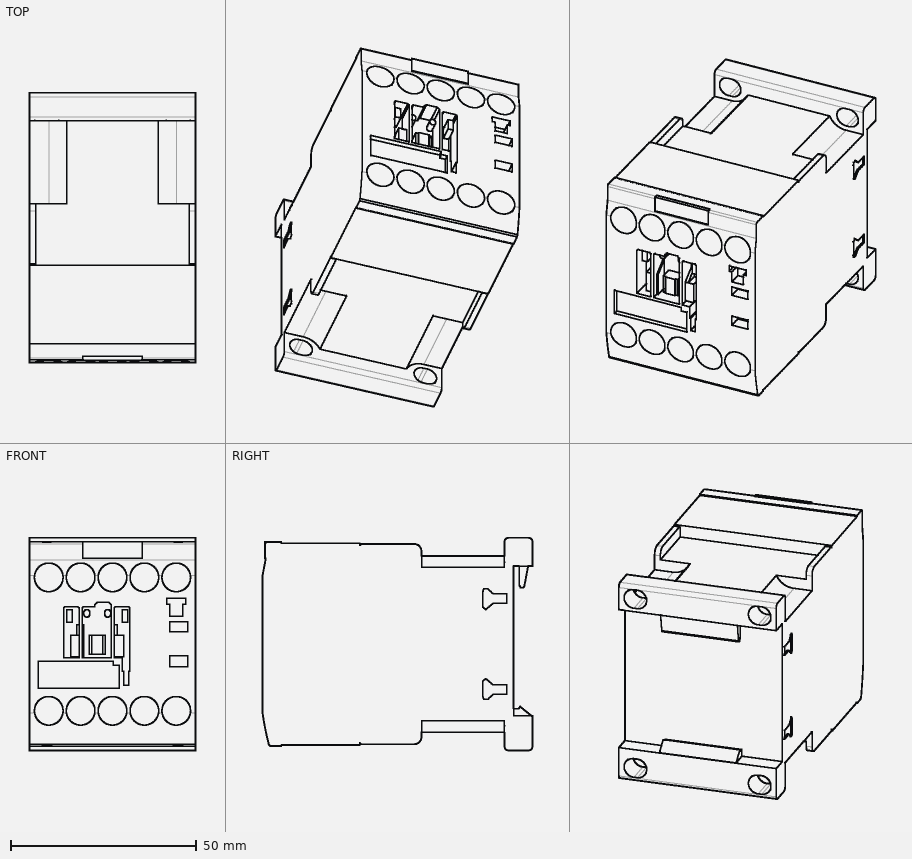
import cadquery as cq

width = 45.0
length = 73.0
height = 57.5
half_width = width / 2
half_height = height / 2

cap_back = 5.1
block_back = 26.35
side_wall_back = 43.0
foot_front = 65.4
rail_seat = 67.9

cap_half_height = 27.6
block_half_height = 27.3
side_wall_half_height = 27.1
core_half_height = 23.9
ledge_half_height = 20.7


def side_profile(points, x_start, x_length):
    """Extrude a closed (Y, Z) outline along X."""
    return cq.Workplane("YZ", origin=(x_start, 0, 0)).polyline(points).close().extrude(x_length)


def front_prism(points, front, back):
    """Extrude a closed (X, Z) outline backwards between two depths."""
    plane = cq.Workplane("XZ", origin=(0, front, 0))
    return plane.polyline(points).close().extrude(front - back)


def block(x_range, y_range, z_range):
    """Box given by its limits along X, Y and Z."""
    sizes = [limits[1] - limits[0] for limits in (x_range, y_range, z_range)]
    corner = (x_range[0], y_range[0], z_range[0])
    return cq.Workplane("XY").box(*sizes, centered=False).translate(corner)


def full_width(y_range, z_range):
    """Box across the whole width."""
    return block((-half_width, half_width), y_range, z_range)


face_half_height = 18.55
header_depth = 0.8
header_bottom = 22.8
header_edge = 0.5
lower_curve_middle = (0.56, -22.05)
lower_curve_end = (1.7, -27.1)
lower_lip_depth = 2.05


def make_cap():
    return (
        cq.Workplane("YZ", origin=(-half_width, 0, 0))
        .moveTo(cap_back, -cap_half_height)
        .lineTo(cap_back, cap_half_height)
        .lineTo(header_depth + header_edge, cap_half_height)
        .radiusArc((header_depth, cap_half_height - header_edge), -header_edge)
        .lineTo(header_depth, header_bottom)
        .lineTo(0, face_half_height)
        .lineTo(0, -face_half_height)
        .threePointArc(lower_curve_middle, lower_curve_end)
        .lineTo(lower_lip_depth, -cap_half_height)
        .close()
        .extrude(width)
    )


plate_half_width = 8.0
plate_depths = (0.6, 1.7)
plate_rise = 0.1
plate_heights = (23.2, cap_half_height + plate_rise)

side_wall_width = 1.7
side_wall_round = 2.0
side_wall_bevel = 0.4


def make_side_wall(x_start):
    """Tall side wall, rounded at its back corners and bevelled where it meets the front block."""
    wall = block(
        (x_start, x_start + side_wall_width),
        (block_back, side_wall_back),
        (-side_wall_half_height, side_wall_half_height),
    )
    wall = wall.edges("|X and >Y").fillet(side_wall_round)
    return wall.edges("|X and <Y").chamfer(side_wall_bevel)


channel_x = 17.2
channel_radius = 5.4


def make_channel(side, level):
    """Concave channel that opens outwards over a flat ledge; side and level are +1 or -1."""
    axis_z = level * (ledge_half_height + channel_radius)
    channel_length = foot_front - side_wall_back
    bore = (
        cq.Workplane("XZ", origin=(side * channel_x, side_wall_back, axis_z))
        .circle(channel_radius)
        .extrude(-channel_length)
    )
    ledge = block(
        sorted((side * channel_x, side * half_width)),
        (side_wall_back, foot_front),
        sorted((level * ledge_half_height, level * half_height)),
    )
    return bore.union(ledge)


upper_foot_bottom = 21.1
lower_foot_top = -19.4
foot_round = 1.1
hole_x = 17.75
hole_z = 24.8
hole_length = 6.4
hole_height = 5.4


def make_foot(z_range, outer_edges):
    foot = full_width((foot_front, length), z_range)
    return foot.edges(outer_edges).fillet(foot_round)


rail_clip_width = 21.9
hook_outline = [
    (71.8, upper_foot_bottom), (70.8, 15.6), (70.45, 15.2),
    (69.8, 15.2), (69.35, 16.0), (69.35, upper_foot_bottom),
]
latch_outline = [
    (72.8, lower_foot_top), (69.65, -16.85), (69.2, -17.45), (rail_seat, -17.45), (rail_seat, lower_foot_top),
]

side_recess_depth = 0.45
side_recess_outline = [
    (66.1, 13.6), (62.35, 13.6), (60.9, 15.0), (59.85, 15.0), (59.6, 14.2),
    (59.6, 10.0), (60.4, 9.35), (62.35, 11.0), (66.1, 11.0),
]

terminal_count = 5
terminal_pitch = 8.6
terminal_diameter = 7.75
terminal_z = 18.0
terminal_depth = 10.95

label_depth = 1.45
label_outline = [
    (-20.0, -4.6), (0.15, -4.6), (0.15, -5.7), (1.8, -5.7), (1.8, -11.9), (-20.0, -11.9),
]
window_depth = 3.65
tee_window_outline = [
    (14.7, 12.4), (19.8, 12.4), (19.8, 10.7), (19.0, 10.7),
    (19.0, 7.6), (15.5, 7.6), (15.5, 10.7), (14.7, 10.7),
]
square_window_x = (15.5, 20.4)
square_window_heights = [(3.35, 6.0), (-6.05, -3.2)]

slot_depth = 5.6
slot_top = 10.15
slot_bottom = -3.7
slot_bevel = 0.4
left_slot_x = (-13.2, -9.05)
middle_slot_x = (-8.2, -0.4)
right_slot_x = (0.45, 4.7)
middle_slot_top = 11.3
middle_slot_step_x = -4.75
middle_slot_bevel = 0.65
leg_outline = [
    (2.7, slot_bottom), (2.7, -7.3), (3.0, -7.3), (3.0, -11.1), (4.4, -11.1), (4.4, -7.3), (4.7, -7.3),
    (4.7, slot_bottom),
]


def slot_outline(x_range):
    """Upright slot with bevelled top corners."""
    left, right = x_range
    return [
        (left, slot_bottom), (left, slot_top - slot_bevel), (left + slot_bevel, slot_top),
        (right - slot_bevel, slot_top), (right, slot_top - slot_bevel), (right, slot_bottom),
    ]


def middle_slot_outline():
    """Upright slot whose right part is taller."""
    left, right = middle_slot_x
    return [
        (left, slot_bottom), (left, slot_top - slot_bevel), (left + slot_bevel, slot_top),
        (middle_slot_step_x, slot_top), (middle_slot_step_x, middle_slot_top - middle_slot_bevel),
        (middle_slot_step_x + middle_slot_bevel, middle_slot_top),
        (right - middle_slot_bevel, middle_slot_top), (right, middle_slot_top - middle_slot_bevel),
        (right, slot_bottom),
    ]


slider_depth = 2.0
slider_top = 2.4
arm_bottom = -3.4
ramp_top = 5.2
left_arm_x = (-11.3, left_slot_x[1])
right_arm_x = (right_slot_x[0], 3.0)
left_ramp_x = (-9.7, left_slot_x[1])
right_ramp_x = (right_slot_x[0], 1.3)
middle_ramp_x = (middle_slot_x[0], -7.8)
knob_x = (-6.35, -2.0)
knob_bottom = -2.7
knob_rim = 0.7
knob_rim_depth = 2.3


def make_ramp(x_range, bottom):
    """Strip along a slot wall with a top that rises towards the slot floor."""
    outline = [
        (slider_depth, bottom), (slider_depth, slider_top), (slot_depth, ramp_top), (slot_depth, bottom),
    ]
    return side_profile(outline, x_range[0], x_range[1] - x_range[0])


def make_slider():
    knob_left, knob_right = knob_x
    parts = block(knob_x, (knob_rim_depth, slot_depth), (knob_bottom, slider_top))
    knob_center = (knob_left + knob_rim, knob_right - knob_rim)
    parts = parts.union(block(knob_center, (slider_depth, slot_depth), (knob_bottom, slider_top)))
    for arm_x in (left_arm_x, right_arm_x):
        parts = parts.union(block(arm_x, (slider_depth, slot_depth), (arm_bottom, slider_top)))
    for ramp_x in (left_ramp_x, right_ramp_x):
        parts = parts.union(make_ramp(ramp_x, arm_bottom))
    return parts.union(make_ramp(middle_ramp_x, slot_bottom))


stud_depth = 2.9
stud_z = 8.3
stud_width = 1.6
stud_height = 2.05
stud_xs = (-6.9, -1.3)
bar_depth = 1.7
bar_heights = (5.9, 9.35)
bar_ranges = [(-12.4, -10.9), (2.6, 4.15)]


def make_studs():
    studs = (
        cq.Workplane("XZ", origin=(0, stud_depth, 0))
        .pushPoints([(x, stud_z) for x in stud_xs])
        .slot2D(stud_height, stud_width, 90)
        .extrude(stud_depth - slot_depth)
    )
    for bar_x in bar_ranges:
        studs = studs.union(block(bar_x, (bar_depth, slot_depth), bar_heights))
    return studs


body = make_cap()
body = body.union(block((-plate_half_width, plate_half_width), plate_depths, plate_heights))
body = body.union(full_width((cap_back, block_back), (-block_half_height, block_half_height)))
body = body.union(full_width((block_back, rail_seat), (-core_half_height, core_half_height)))
for wall_x in (-half_width, half_width - side_wall_width):
    body = body.union(make_side_wall(wall_x))
for side in (-1, 1):
    for level in (-1, 1):
        body = body.cut(make_channel(side, level))

body = body.union(make_foot((upper_foot_bottom, half_height), "|X and >Z"))
body = body.union(make_foot((-half_height, lower_foot_top), "|X and <Z"))
for outline in (hook_outline, latch_outline):
    body = body.union(side_profile(outline, -rail_clip_width / 2, rail_clip_width))
mounting_holes = (
    cq.Workplane("XZ", origin=(0, foot_front, 0))
    .rect(2 * hole_x, 2 * hole_z, forConstruction=True)
    .vertices()
    .slot2D(hole_length, hole_height)
    .extrude(foot_front - length)
)
body = body.cut(mounting_holes)

for level in (-1, 1):
    outline = [(y, level * z) for y, z in side_recess_outline]
    for start in (-half_width, half_width - side_recess_depth):
        body = body.cut(side_profile(outline, start, side_recess_depth))

terminals = (
    cq.Workplane("XZ")
    .rarray(terminal_pitch, 2 * terminal_z, terminal_count, 2)
    .circle(terminal_diameter / 2)
    .extrude(-terminal_depth)
)
body = body.cut(terminals)
body = body.cut(front_prism(label_outline, 0, label_depth))
body = body.cut(front_prism(tee_window_outline, 0, window_depth))
for window_z in square_window_heights:
    body = body.cut(block(square_window_x, (0, window_depth), window_z))

for outline in (slot_outline(left_slot_x), middle_slot_outline(), slot_outline(right_slot_x)):
    body = body.cut(front_prism(outline, 0, slot_depth))
body = body.cut(front_prism(leg_outline, 0, slot_depth))
body = body.union(make_slider())
body = body.union(make_studs())

result = body